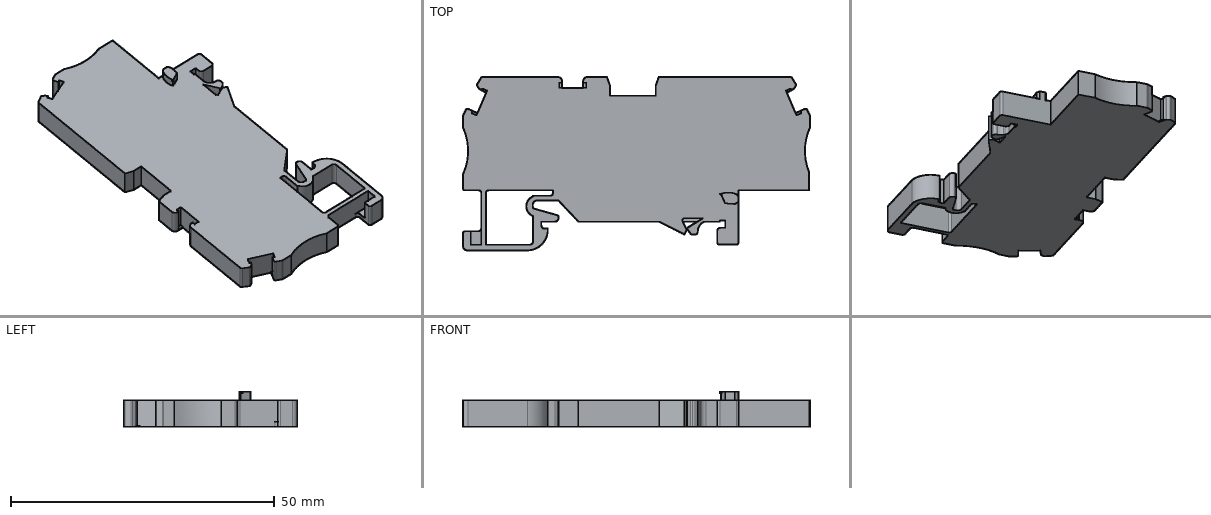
import cadquery as cq
import math

length = 66.0
depth = 33.0
thickness = 5.1
total_height = 6.7

side_step = 0.2
body_bottom = 11.4
rail_face = 5.5
small_round = 0.45
edge_break = 0.25

shoulder_top = 26.9
shoulder_base = 25.6
shoulder_left = 0.65
shoulder_right = 1.05
notch_low = (2.8, 26.15)
notch_high = (4.4, 29.95)
hook_low = (3.05, 30.75)
hook_nose = (2.65, 31.5)
hook_top_x = 3.55
scallop_y = 18.95
scallop_chord = 9.0
scallop_sag = 1.0
side_recess_reach = 0.45
side_recess_width = 1.0

top_notch_left = 18.9
top_notch_right = 22.85
top_notch_floor = 30.9
top_notch_round = 0.85
top_recess_reach = 0.6
top_recess_width = 1.0
step_left = 28.0
step_right = 36.6
step_floor = 29.45
step_bevel_base = 31.35
step_bevel_run = 0.6
recess_floor = 0.25

post_thickness = 0.9
spring_thickness = 0.9
post_left = 3.5
post_right = post_left + post_thickness
foot_floor = 1.1
lug_top = 3.7
lug_round = 0.45
foot_left_round = 0.9
lug_pocket_left = 1.5
lug_pocket_floor = 1.0
web_round = 0.6
foot_right = 16.2
foot_round = 3.95
barb_right = 18.2
barb_left = 14.9
barb_round = 0.7
barb_slope_low = 6.65
barb_slope_high = 8.05
catch_top = 4.2
catch_left = 15.2
catch_step = 0.5
catch_round = 0.1
window_round = 0.65
spring_gap_round = 0.8
spring_left = 13.3
spring_gap_top = 9.5
spring_slot_right = 17.1
spring_bend_diameter = 4.0
spring_bend_x = 14.05
ramp_top_x = 18.15
ramp_bottom_x = 22.0

wedge_start_x = 37.3
latch_tip_y = 3.05
wedge_tip_x = 42.1
latch_gap = (42.65, 4.1)
latch_gap_width = 0.2
latch_gap_rise = 0.4
latch_left = 43.35
latch_right = 44.7
latch_tip_round = 0.6
latch_waist_y = 4.35
latch_waist_round = 1.65
latch_neck_x = 45.6
latch_neck_round = 1.2
latch_slot_left = 41.65
latch_slot_shoulder = 0.3
latch_slot_top = 6.15
latch_slot_web = 2.1
heel_left = 48.3
heel_right = 52.4
heel_top = 4.35
heel_nose_round = 0.65
heel_round = 0.45
heel_notch_left = 48.85
heel_notch_right = 49.8
heel_notch_top = 5.7

pin_bottom_left = (49.8, 9.0)
pin_bottom_right = (51.7, 8.85)
pin_side_low = 9.25
pin_side_high = 10.3
pin_arch_right = (52.0, 10.7)
pin_arch_top = (50.7, 11.0)
pin_arch_left = (49.05, 10.75)
pin_lip_corners = [(48.8, 10.8), (49.25, 10.35), (49.6, 10.8)]
pin_lip_height = 0.3


def rounded_wire(corners):
    """Closed outline through (x, y) or (x, y, radius) corners, each radius as a tangent arc."""
    count = len(corners)
    stretches = []
    for i, corner in enumerate(corners):
        x, y = corner[:2]
        radius = corner[2] if len(corner) == 3 else 0
        if radius == 0:
            stretches.append([(x, y)])
            continue
        before = cq.Vector(*corners[i - 1][:2])
        after = cq.Vector(*corners[(i + 1) % count][:2])
        tip = cq.Vector(x, y)
        to_before = (before - tip).normalized()
        to_after = (after - tip).normalized()
        half_angle = to_before.getAngle(to_after) / 2
        setback = radius / math.tan(half_angle)
        bisector = (to_before + to_after).normalized()
        middle = tip + bisector * (radius / math.sin(half_angle) - radius)
        ends = [tip + to_before * setback, middle, tip + to_after * setback]
        stretches.append([(p.x, p.y) for p in ends])
    outline = cq.Workplane("XY").moveTo(*stretches[0][-1])
    for stretch in stretches[1:] + stretches[:1]:
        outline = outline.lineTo(*stretch[0])
        if len(stretch) == 3:
            outline = outline.threePointArc(stretch[1], stretch[2])
    return outline.close()


def plate(corners, bottom=0.0, top=thickness):
    """Flat piece with the given outline between two heights."""
    return rounded_wire(corners).extrude(top - bottom).translate((0, 0, bottom))


def block(left, right, low, high, bottom=0.0, top=thickness):
    """Rectangular plate between the given sides."""
    return plate([(left, low), (right, low), (right, high), (left, high)], bottom, top)


def left_end():
    """Corners of the left end, running upwards from the shoulder to the top edge."""
    return [
        (0, shoulder_base, small_round),
        (shoulder_left, shoulder_top, edge_break),
        (shoulder_right, shoulder_top, edge_break),
        notch_low,
        notch_high,
        (*hook_low, edge_break),
        (*hook_nose, edge_break),
        (hook_top_x, depth, small_round),
    ]


def right_end():
    """The left end mirrored, running downwards."""
    return [(length - x, *rest) for x, *rest in reversed(left_end())]


def left_foot():
    """Corners of the sprung foot, running from the body corner to the rail face."""
    return [
        (0, body_bottom, small_round),
        (post_left, body_bottom, small_round),
        (post_left, lug_top, web_round),
        (0, lug_top, lug_round),
        (0, 0, foot_left_round),
        (foot_right, 0, foot_round),
        (foot_right, catch_top, catch_round),
        (catch_left, catch_top, catch_round),
        (barb_left, catch_top + catch_step),
        (barb_left, rail_face),
        (barb_right, rail_face, barb_round),
        (barb_right, barb_slope_low, small_round),
        (spring_left, barb_slope_high, edge_break),
        (spring_left, spring_gap_top, spring_gap_round),
        (ramp_top_x, spring_gap_top),
        (ramp_bottom_x, rail_face),
    ]


def right_foot():
    """Corners of the wedge, the latch and the fixed heel."""
    return [
        (wedge_start_x, rail_face),
        (wedge_tip_x, latch_tip_y),
        latch_gap,
        (latch_left, latch_tip_y, small_round),
        (latch_right, latch_tip_y, latch_tip_round),
        (latch_right, latch_waist_y, latch_waist_round),
        (latch_neck_x, rail_face, latch_neck_round),
        (heel_notch_left, rail_face),
        (heel_notch_left, heel_notch_top),
        (heel_notch_right, heel_notch_top),
        (heel_notch_right, heel_top),
        (heel_left, heel_top, heel_nose_round),
        (heel_left, foot_floor, heel_round),
        (heel_right, foot_floor, heel_round),
        (heel_right, body_bottom),
    ]


def top_edge():
    """Corners of the top edge from left to right."""
    return [
        (top_notch_left, depth, top_notch_round),
        (top_notch_left, top_notch_floor),
        (top_notch_right, top_notch_floor),
        (top_notch_right, depth, top_notch_round),
        (step_left - step_bevel_run, depth),
        (step_left, step_bevel_base),
        (step_left, step_floor),
        (step_right, step_floor),
        (step_right, step_bevel_base),
        (step_right + step_bevel_run, depth),
    ]


def housing():
    """Full outline, walked clockwise from the middle of the right end."""
    right_side = length - side_step
    lower_right = [
        (length, scallop_y),
        (right_side, scallop_y),
        (right_side, body_bottom),
    ]
    lower_edge = left_foot() + right_foot()
    ends_and_top = left_end() + top_edge() + right_end()
    return plate(lower_right + lower_edge[::-1] + ends_and_top)


def scallops():
    """Shallow round hollows in both ends."""
    radius = ((scallop_chord / 2) ** 2 + scallop_sag ** 2) / (2 * scallop_sag)
    inset = radius - scallop_sag
    centers = [(-inset, scallop_y), (length + inset, scallop_y)]
    return cq.Workplane("XY").pushPoints(centers).circle(radius).extrude(thickness)


def foot_window():
    """Opening between post and spring leg, with the round spring bend left standing in it."""
    slot_low = spring_gap_top + spring_thickness
    bend_radius = spring_bend_diameter / 2
    bend_center = (spring_bend_x, slot_low - bend_radius)
    opening = plate([
        (post_right, foot_floor),
        (spring_left, foot_floor, window_round),
        (spring_left, slot_low),
        (spring_slot_right, slot_low, small_round),
        (spring_slot_right, body_bottom),
        (post_right, body_bottom, small_round),
    ])
    bend = cq.Workplane("XY").center(*bend_center).circle(bend_radius).extrude(thickness)
    return opening.cut(bend)


def lug_pocket():
    """Pocket behind the left lug, open towards the body."""
    return block(lug_pocket_left, post_left, foot_floor, lug_top + web_round, lug_pocket_floor)


def latch_slot():
    """Three-sided slot that frees the latch; a web floors the part above the rail face."""
    gap_x, gap_y = latch_gap
    half_gap = latch_gap_width / 2
    slot = plate([
        (gap_x - half_gap, gap_y - half_gap),
        (gap_x + half_gap, gap_y - half_gap + latch_gap_rise),
        (latch_neck_x, latch_slot_top),
        (latch_slot_left + latch_slot_shoulder, latch_slot_top),
        (latch_slot_left, latch_slot_top - latch_slot_shoulder),
    ])
    web = block(wedge_start_x, latch_neck_x, rail_face, latch_slot_top, 0, latch_slot_web)
    return slot.cut(web)


def top_recess():
    """Undercut that widens the top notch above its thin skin."""
    return block(
        top_notch_left - top_recess_reach,
        top_notch_right + top_recess_reach,
        top_notch_floor,
        top_notch_floor + top_recess_width,
        recess_floor,
    )


def side_recess():
    """Undercut that lengthens the slanted left notch at both ends."""
    low = cq.Vector(*notch_low)
    high = cq.Vector(*notch_high)
    along = (high - low).normalized()
    outward = cq.Vector(-along.y, along.x)
    start = low - along * side_recess_reach
    end = high + along * side_recess_reach
    span = outward * side_recess_width
    corners = [start, end, end + span, start + span]
    return plate([(p.x, p.y) for p in corners], recess_floor)


def locating_pin():
    """Small pin with an arched back and a pointed lip at its tip."""
    pin = (
        cq.Workplane("XY")
        .moveTo(*pin_arch_left)
        .lineTo(*pin_bottom_left)
        .lineTo(*pin_bottom_right)
        .lineTo(heel_right, pin_side_low)
        .lineTo(heel_right, pin_side_high)
        .lineTo(*pin_arch_right)
        .threePointArc(pin_arch_top, pin_arch_left)
        .close()
        .extrude(total_height)
    )
    lip = plate(pin_lip_corners, total_height - pin_lip_height, total_height)
    return pin.union(lip)


left_recess = side_recess()
right_recess = left_recess.mirror("YZ").translate((length, 0, 0))

result = housing()
for opening in (scallops(), foot_window(), lug_pocket(), latch_slot(), top_recess(),
                left_recess, right_recess):
    result = result.cut(opening)
result = result.union(locating_pin())